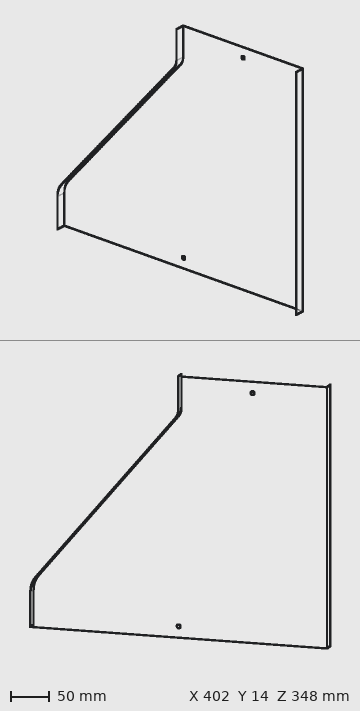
import cadquery as cq

width = 402.0
depth = 14.0
height = 348.0

sheet = 0.5

top_left_x = 200.0
slope_bottom_z = 58.3
slope_top_z = 296.5
lower_corner_radius = 31.0
upper_corner_radius = 17.5

hole_diameter = 5.0
hole_edge_distance = 15.3
hole_centres = [
    (width / 2, hole_edge_distance),
    ((top_left_x + width) / 2, height - hole_edge_distance),
]


def make_blank():
    """Solid block with the cover's outline, running from y = 0 back to y = depth."""
    outline = [
        (0, 0),
        (width, 0),
        (width, height),
        (top_left_x, height),
        (top_left_x, slope_top_z),
        (0, slope_bottom_z),
    ]
    block = cq.Workplane("XZ").polyline(outline).close().extrude(-depth)
    lower_corner = cq.selectors.NearestToPointSelector((0, depth / 2, slope_bottom_z))
    block = block.edges(lower_corner).fillet(lower_corner_radius)
    upper_corner = cq.selectors.NearestToPointSelector((top_left_x, depth / 2, slope_top_z))
    return block.edges(upper_corner).fillet(upper_corner_radius)


def hollow_out(block):
    """Leave the back plate and side flanges; open the front, top and bottom."""
    return block.faces("<Y or <Z or >Z").shell(-sheet)


def cut_holes(cover):
    pins = (
        cq.Workplane("XZ")
        .pushPoints(hole_centres)
        .circle(hole_diameter / 2)
        .extrude(-depth)
    )
    return cover.cut(pins)


result = cut_holes(hollow_out(make_blank()))